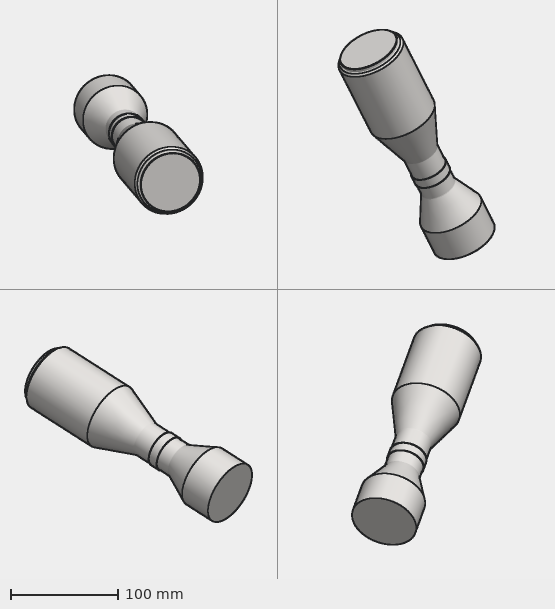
import cadquery as cq

total_length = 230.7

head_radius = 31.1
head_end = 32.3

neck_radius = 17.3
neck_start = 62.3
neck_end = 105.0
neck_fillet = 1.8

ring_radius = 18.0
ring_start = 76.0
ring_end = 85.8

body_radius = 33.0
body_start = 148.8
body_end = 226.8
body_chamfer = 2.0

spigot_radius = 28.8
spigot_root_fillet = 0.7
spigot_chamfer = 0.5


def make_shell():
    """Head, neck and body with the two cones between them."""
    profile = (
        cq.Workplane("XY")
        .moveTo(0, 0)
        .lineTo(0, head_radius)
        .lineTo(head_end, head_radius)
        .lineTo(neck_start, neck_radius)
        .lineTo(neck_end, neck_radius)
        .lineTo(body_start, body_radius)
        .lineTo(body_end, body_radius)
        .lineTo(body_end, 0)
        .close()
    )
    shell = profile.revolve(360, (0, 0, 0), (1, 0, 0))
    shell = shell.faces(">X").edges().chamfer(body_chamfer)
    neck_edges = shell.edges("%CIRCLE").filter(lambda edge: edge.radius() < ring_radius)
    return neck_edges.fillet(neck_fillet)


def make_cylinder(start, end, radius):
    """Solid cylinder along X between two stations."""
    return cq.Workplane("YZ").workplane(offset=start).circle(radius).extrude(end - start)


ring = make_cylinder(ring_start, ring_end, ring_radius)
spigot = make_cylinder(body_end, total_length, spigot_radius)
spigot = spigot.faces(">X").edges().chamfer(spigot_chamfer)

result = make_shell().union(ring).union(spigot)

spigot_edges = result.edges("%CIRCLE").filter(
    lambda edge: abs(edge.radius() - spigot_radius) < spigot_chamfer / 2
)
result = spigot_edges.edges("<X").fillet(spigot_root_fillet)